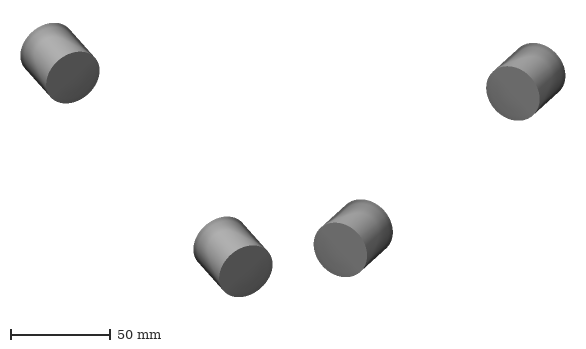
import cadquery as cq

overall_length = 230.0
pin_diameter = 30.0
pin_length = 30.0

pin_spacing = overall_length - pin_length
first_pin_start = -overall_length / 2


def make_pin(start_x):
    """Plain cylinder along +X whose lower-X end face is at start_x."""
    return cq.Workplane("YZ", origin=(start_x, 0, 0)).circle(pin_diameter / 2).extrude(pin_length)


pins = [make_pin(first_pin_start + offset) for offset in (0, pin_spacing)]

result = cq.Compound.makeCompound([pin.val() for pin in pins])